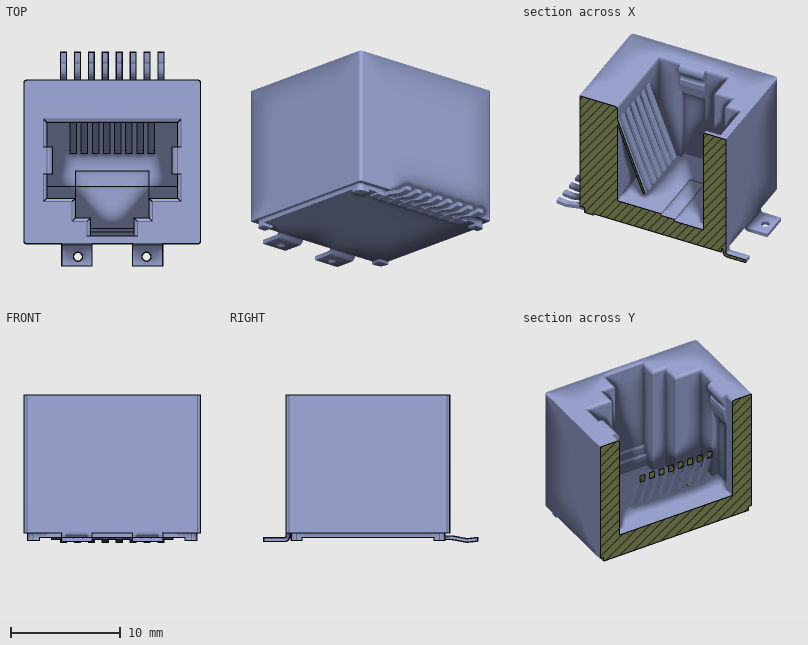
import cadquery as cq
import math

BODY_X = 16.1
BODY_Y = 14.93
BODY_Z = 12.6
BODY_CORNER_R = 0.27
HALF_BODY_Y = BODY_Y / 2

LIP_R = 0.31
SOCKET_BACK_Y = 3.59
PLUG_HALF_X = 5.96
PLUG_FRONT_Y = -3.31
SHOULDER_HALF_X = 3.35
SHOULDER_FRONT_Y = -5.1
CLIP_HALF_X = 1.99
CLIP_FRONT_Y = -6.75

FLOOR_Z = 1.95
FLOOR_STEP = 0.2
FLOOR_STEP_Y = -2.22
FLOOR_RECESS_BACK_Y = -0.84
STAIR_COUNT = 2
STAIR_DEPTH = 0.35
STAIR_HEIGHT = 0.78

CATCH_BACK_Y = 1.36
CATCH_FRONT_Y = -1.11
CATCH_REACH = 0.53
CATCH_TIP_X = PLUG_HALF_X - CATCH_REACH
CATCH_PAD_REACH = 0.23
CATCH_PAD_X = PLUG_HALF_X - CATCH_PAD_REACH
CATCH_ROUND = 0.49
CATCH_NOSE = 0.15
CATCH_GROOVE_DEPTH = 0.15
CATCH_GROOVE_TOP_Z = 11.6
CATCH_GROOVE_BOTTOM_Z = 10.91
CATCH_PAD_BOTTOM_Z = 10.39
CATCH_BOTTOM_Z = 9.35
CATCH_ROOT = 0.6

CONTACT_COUNT = 8
CONTACT_PITCH = 1.01
CONTACT_WIDTH = 0.58
CONTACT_TOP_Z = 11.1
CONTACT_TIP_Y = 0.76
CONTACT_TIP_Z = 3.6
CONTACT_THICKNESS_Y = 0.27

BASE_X = 15.44
BASE_Y = 14.0
BASE_THICKNESS = 0.4
BASE_CORNER_R = 0.49
FOOT_X = 1.11
FOOT_Y = 1.0
FOOT_HEIGHT = 0.68
HALF_BASE_Y = BASE_Y / 2

LEAD_PITCH = 1.27
LEAD_WIDTH = 0.57
LEAD_THICKNESS = 0.35
LEAD_TIP_Y = 10.0
LEAD_KNEE_Y = 9.02
LEAD_BEND_Y = 7.68
LEAD_BOTTOM_Z = -0.85
LEAD_TIP_RISE = 0.12
LEAD_BEND_RISE = 0.25
STRIP_X = 11.03
STRIP_BOTTOM = 0.57

TAB_WIDTH = 2.79
TAB_CENTRE_X = 3.22
TAB_THICKNESS = 0.37
TAB_TIP_Y = -9.5
TAB_BOTTOM_Z = -0.78
TAB_BEND_R = 0.14
TAB_HOLE_X = 3.12
TAB_HOLE_Y = -8.63
TAB_HOLE_D = 0.8


def box(x0, x1, y0, y1, z0, z1):
    """Axis-aligned box between two opposite corners."""
    return cq.Workplane("XY").box(x1 - x0, y1 - y0, z1 - z0, centered=False).translate((x0, y0, z0))


def side_profile(points, centre_x, width):
    """Closed (y, z) outline extruded along X about centre_x."""
    outline = cq.Workplane("YZ").polyline(points).close()
    return outline.extrude(width / 2, both=True).translate((centre_x, 0, 0))


def row(count, pitch):
    """Evenly spaced places centred on zero."""
    return [(i - (count - 1) / 2) * pitch for i in range(count)]


def make_housing():
    block = box(-BODY_X / 2, BODY_X / 2, -HALF_BODY_Y, HALF_BODY_Y, 0, BODY_Z)
    block = block.edges("|Z").fillet(BODY_CORNER_R)
    right_half = [
        (PLUG_HALF_X, SOCKET_BACK_Y),
        (PLUG_HALF_X, PLUG_FRONT_Y),
        (SHOULDER_HALF_X, PLUG_FRONT_Y),
        (SHOULDER_HALF_X, SHOULDER_FRONT_Y),
        (CLIP_HALF_X, SHOULDER_FRONT_Y),
        (CLIP_HALF_X, CLIP_FRONT_Y),
    ]
    left_half = [(-x, y) for x, y in reversed(right_half)]
    outline = cq.Workplane("XY").workplane(offset=FLOOR_Z).polyline(right_half + left_half).close()
    housing = block.cut(outline.extrude(BODY_Z))
    margin = 0.2
    reach = PLUG_HALF_X + margin
    mouth = cq.selectors.BoxSelector(
        (-reach, CLIP_FRONT_Y + margin, BODY_Z - margin),
        (reach, SOCKET_BACK_Y + margin, BODY_Z + margin),
    )
    return housing.edges(mouth).fillet(LIP_R)


def shape_floor(housing):
    front_bottom = FLOOR_Z - FLOOR_STEP
    front = box(-PLUG_HALF_X, PLUG_HALF_X, PLUG_FRONT_Y, FLOOR_STEP_Y, front_bottom, FLOOR_Z)
    recess = box(
        -SHOULDER_HALF_X, SHOULDER_HALF_X, SHOULDER_FRONT_Y, FLOOR_RECESS_BACK_Y, front_bottom, FLOOR_Z
    )
    deep = box(
        -SHOULDER_HALF_X, SHOULDER_HALF_X, SHOULDER_FRONT_Y, FLOOR_STEP_Y,
        front_bottom - FLOOR_STEP, front_bottom,
    )
    clip = box(
        -CLIP_HALF_X, CLIP_HALF_X, CLIP_FRONT_Y, SHOULDER_FRONT_Y, front_bottom - FLOOR_STEP, FLOOR_Z
    )
    housing = housing.cut(front).cut(recess).cut(deep).cut(clip)
    for step in range(STAIR_COUNT):
        stair_back = CLIP_FRONT_Y + (STAIR_COUNT - step) * STAIR_DEPTH
        stair_top = FLOOR_Z + (step + 1) * STAIR_HEIGHT
        stair = box(-CLIP_HALF_X, CLIP_HALF_X, CLIP_FRONT_Y, stair_back, 0, stair_top)
        housing = housing.union(stair)
    return housing


def make_catch():
    """Catch on the +X wall: round nose, round groove, flat pad and a tapered lower end."""
    root_x = PLUG_HALF_X + CATCH_ROOT
    nose_z = BODY_Z - CATCH_ROUND
    groove_z = (CATCH_GROOVE_TOP_Z + CATCH_GROOVE_BOTTOM_Z) / 2
    diagonal = CATCH_ROUND * math.sqrt(0.5)
    profile = (
        cq.Workplane("XZ", origin=(0, CATCH_BACK_Y, 0))
        .moveTo(root_x, BODY_Z)
        .lineTo(CATCH_TIP_X + CATCH_ROUND, BODY_Z)
        .threePointArc(
            (CATCH_TIP_X + CATCH_ROUND - diagonal, nose_z + diagonal), (CATCH_TIP_X, nose_z)
        )
        .lineTo(CATCH_TIP_X, nose_z - CATCH_NOSE)
        .lineTo(CATCH_PAD_X, CATCH_GROOVE_TOP_Z)
        .threePointArc(
            (CATCH_PAD_X + CATCH_GROOVE_DEPTH, groove_z), (CATCH_PAD_X, CATCH_GROOVE_BOTTOM_Z)
        )
        .lineTo(CATCH_PAD_X, CATCH_PAD_BOTTOM_Z)
        .lineTo(PLUG_HALF_X, CATCH_BOTTOM_Z)
        .lineTo(root_x, CATCH_BOTTOM_Z)
        .close()
    )
    return profile.extrude(CATCH_BACK_Y - CATCH_FRONT_Y)


def add_catches(housing):
    slot = box(
        PLUG_HALF_X, PLUG_HALF_X + CATCH_ROOT, CATCH_FRONT_Y, CATCH_BACK_Y, FLOOR_Z, CATCH_BOTTOM_Z
    )
    catch = make_catch()
    housing = housing.cut(slot).cut(slot.mirror("YZ"))
    return housing.union(catch).union(catch.mirror("YZ"))


def make_contact(x):
    """Sloping bar whose upper end is rooted in the back wall."""
    root_y = SOCKET_BACK_Y + CONTACT_THICKNESS_Y
    points = [
        (SOCKET_BACK_Y, CONTACT_TOP_Z),
        (root_y, CONTACT_TOP_Z),
        (CONTACT_TIP_Y + CONTACT_THICKNESS_Y, CONTACT_TIP_Z),
        (CONTACT_TIP_Y, CONTACT_TIP_Z),
    ]
    return side_profile(points, x, CONTACT_WIDTH)


def make_base():
    half_x = BASE_X / 2
    pad = box(-half_x, half_x, -HALF_BASE_Y, HALF_BASE_Y, -FOOT_HEIGHT, 0)
    pad = pad.edges("|Z").fillet(BASE_CORNER_R)
    inner_x = half_x - FOOT_X
    inner_y = HALF_BASE_Y - FOOT_Y
    along_x = box(-half_x, half_x, -inner_y, inner_y, -FOOT_HEIGHT, -BASE_THICKNESS)
    along_y = box(-inner_x, inner_x, -HALF_BASE_Y, HALF_BASE_Y, -FOOT_HEIGHT, -BASE_THICKNESS)
    strip = box(-STRIP_X / 2, STRIP_X / 2, inner_y, HALF_BASE_Y, -STRIP_BOTTOM, -BASE_THICKNESS)
    return pad.cut(along_x).cut(along_y).union(strip)


def make_lead(x):
    """Lead that dips to a knee and turns up slightly at its tip."""
    lower_edge = [
        (HALF_BASE_Y - FOOT_Y, LEAD_BOTTOM_Z + LEAD_BEND_RISE),
        (LEAD_BEND_Y, LEAD_BOTTOM_Z + LEAD_BEND_RISE),
        (LEAD_KNEE_Y, LEAD_BOTTOM_Z),
        (LEAD_TIP_Y, LEAD_BOTTOM_Z + LEAD_TIP_RISE),
    ]
    upper_edge = [(y, z + LEAD_THICKNESS) for y, z in reversed(lower_edge)]
    return side_profile(lower_edge + upper_edge, x, LEAD_WIDTH)


def make_tab(side):
    """Ground tab bent forward from under the front wall; side is -1 or +1."""
    face_y = -HALF_BODY_Y
    top_z = TAB_BOTTOM_Z + TAB_THICKNESS
    centre_x = side * TAB_CENTRE_X
    half = TAB_WIDTH / 2
    outer_r = TAB_BEND_R + TAB_THICKNESS
    upright = box(centre_x - half, centre_x + half, face_y, face_y + TAB_THICKNESS, TAB_BOTTOM_Z, 0)
    foot = box(
        centre_x - half, centre_x + half, TAB_TIP_Y, face_y + TAB_THICKNESS, TAB_BOTTOM_Z, top_z
    )
    tab = upright.union(foot)
    inner_bend = cq.selectors.NearestToPointSelector((centre_x, face_y, top_z))
    outer_bend = cq.selectors.NearestToPointSelector((centre_x, face_y + TAB_THICKNESS, TAB_BOTTOM_Z))
    tab = tab.edges(inner_bend).fillet(TAB_BEND_R)
    tab = tab.edges(outer_bend).fillet(outer_r)
    hole = cq.Workplane("XY").circle(TAB_HOLE_D / 2).extrude(2 * TAB_BOTTOM_Z)
    return tab.cut(hole.translate((side * TAB_HOLE_X, TAB_HOLE_Y, 0)))


result = add_catches(shape_floor(make_housing())).union(make_base())
for contact_x in row(CONTACT_COUNT, CONTACT_PITCH):
    result = result.union(make_contact(contact_x))
for lead_x in row(CONTACT_COUNT, LEAD_PITCH):
    result = result.union(make_lead(lead_x))
for tab_side in (-1, 1):
    result = result.union(make_tab(tab_side))